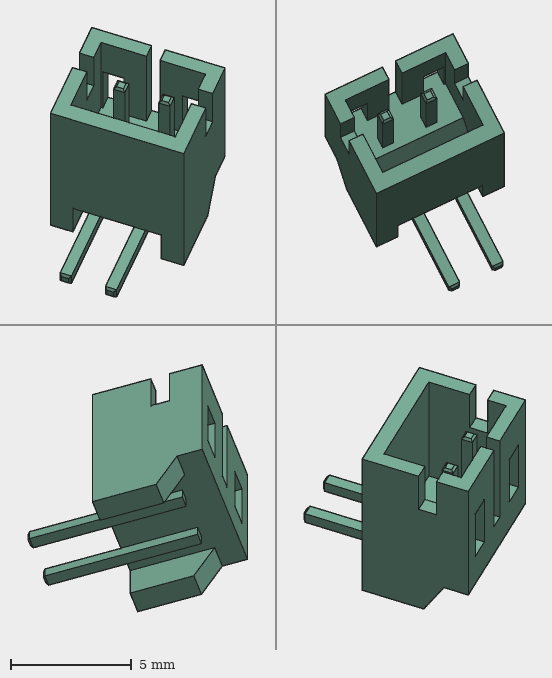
import cadquery as cq


width = 5.9
depth = 4.79
height = 7.6
underside_z = 1.6
foot_width = 1.0
foot_bottom_length = 2.78
foot_top_length = 3.69

side_wall = 0.64
front_wall = 0.705
back_wall = 0.6
cavity_width = width - 2 * side_wall
cavity_back_y = depth - back_wall
upper_floor_z = 3.2
lower_floor_z = 2.165
ramp_front_y = 1.95
ramp_back_y = 2.55

side_slot_front_y = 2.55
side_slot_width = 0.8
side_slot_depth = 1.91
side_slot_z = height - side_slot_depth
key_slot_width = 0.6
window_inner_x = 1.295
window_width = 0.935
window_top_z = 5.64

pin_size = 0.5
pin_pitch = 2.0
pin_overhang = 3.41
pin_tip_z = 6.64
pin_tip_chamfer = 0.1
pin_back_y = side_slot_front_y + side_slot_width
pin_bottom_z = underside_z - pin_size


def box(x_min, y_min, z_min, x_size, y_size, z_size):
    """Box given by its minimum corner and its sizes."""
    return cq.Workplane("XY").box(x_size, y_size, z_size, centered=False).translate((x_min, y_min, z_min))


def extrude_profile(points, x_size):
    """Extrude a Y-Z outline symmetrically about X = 0."""
    return cq.Workplane("YZ").polyline(points).close().extrude(x_size / 2, both=True)


def make_housing():
    """Block with sloped feet on both sides of an open underside."""
    outline = [
        (0, 0),
        (foot_bottom_length, 0),
        (foot_top_length, underside_z),
        (depth, underside_z),
        (depth, height),
        (0, height),
    ]
    gap_width = width - 2 * foot_width
    gap = box(-gap_width / 2, 0, 0, gap_width, depth, underside_z)
    return extrude_profile(outline, width).cut(gap)


def make_cavity():
    """Open-topped cavity whose floor ramps down towards the front wall."""
    outline = [
        (front_wall, lower_floor_z),
        (ramp_front_y, lower_floor_z),
        (ramp_back_y, upper_floor_z),
        (cavity_back_y, upper_floor_z),
        (cavity_back_y, height),
        (front_wall, height),
    ]
    return extrude_profile(outline, cavity_width)


def make_wall_openings():
    """Side slots, central key slot and the two back-wall windows."""
    side_slots = box(-width / 2, side_slot_front_y, side_slot_z, width, side_slot_width, side_slot_depth)
    key_slot = box(
        -key_slot_width / 2, cavity_back_y, upper_floor_z,
        key_slot_width, back_wall, height - upper_floor_z,
    )
    window_height = window_top_z - upper_floor_z
    right_window = box(window_inner_x, cavity_back_y, upper_floor_z, window_width, back_wall, window_height)
    left_window = right_window.mirror("YZ")
    return side_slots.union(key_slot).union(right_window).union(left_window)


def make_pin(center_x):
    """Square L-shaped pin with chamfered tips."""
    left_x = center_x - pin_size / 2
    post = box(left_x, pin_back_y - pin_size, pin_bottom_z, pin_size, pin_size, pin_tip_z - pin_bottom_z)
    tail = box(left_x, -pin_overhang, pin_bottom_z, pin_size, pin_overhang + pin_back_y, pin_size)
    post = post.faces(">Z").chamfer(pin_tip_chamfer)
    tail = tail.faces("<Y").chamfer(pin_tip_chamfer)
    return post.union(tail)


result = make_housing().cut(make_cavity()).cut(make_wall_openings())
for side in (-1, 1):
    result = result.union(make_pin(side * pin_pitch / 2))